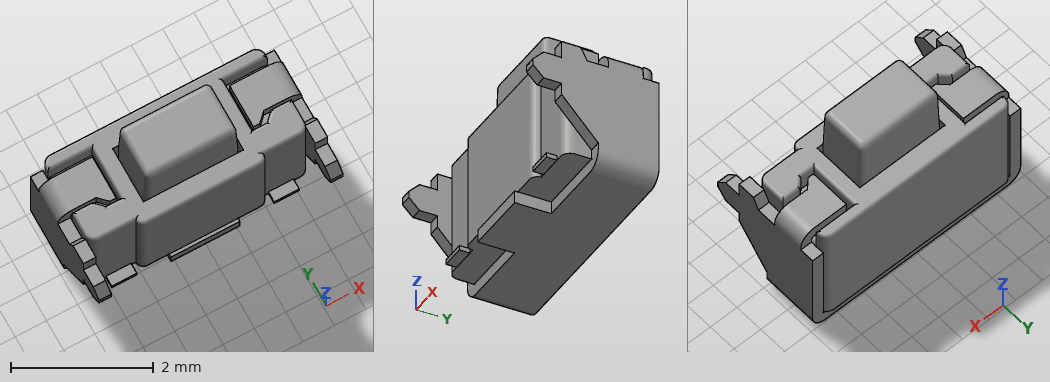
import cadquery as cq


length = 3.9
half_length = length / 2
total_height = 2.9
sheet = 0.2

housing_half = half_length - sheet
housing_bottom = sheet
housing_top = 2.05
housing_back = 0.8
wing_front = -0.63
boss_front = -0.75
boss_half = 1.02
housing_corner_radius = 0.15
boss_corner_radius = wing_front - boss_front
top_edge_radius = 0.05
window_length = 1.6
window_width = 0.897
window_depth = 0.5

bend_radius = 0.25
plate_back = 0.75
plate_back_top = 1.68
plate_notch_top = 1.693
plate_notch_front = -0.395
ear_slope_front = -0.5
ear_top = 1.89
plate_front = -0.8
spur_top = 1.62
spur_bottom = 1.178
spur_tip = -1.25
spur_chamfer = 0.168
plate_front_bottom = 0.985
plate_slope_bottom = 0.35
base_front = -0.22
base_tab_half = 0.55
hook_back = 0.5
hook_front = -0.055
hook_tip = 1.095
barb_front = -0.195
barb_length = 0.1
barb_slope = 0.14

pocket_gap = 0.05
pocket_back_gap = 0.098
pocket_slope_gap = 0.09
pocket_rim_radius = 0.1
hook_bottom = 1.782
hook_top = hook_bottom + sheet
pocket_floor = hook_bottom - pocket_gap
hook_bend_bottom = hook_top - bend_radius

button_length = 1.5
button_width = window_width
button_corner_radius = 0.105
button_top_radius = 0.1
button_draft = 2.0

terminal_inner = 1.095
terminal_width = 0.4
terminal_thickness = 0.075
terminal_front = plate_front


def block(x_range, y_range, z_range):
    """Box between the given limits on each axis."""
    return (
        cq.Workplane("XY")
        .box(
            x_range[1] - x_range[0],
            y_range[1] - y_range[0],
            z_range[1] - z_range[0],
            centered=False,
        )
        .translate((x_range[0], y_range[0], z_range[0]))
    )


def both_sides(left):
    """The left-hand shape joined with its mirror image on the right."""
    return left.union(left.mirror("YZ"))


def left_pocket():
    """Cutter for the left hook pocket, open to the side and the top of the housing."""
    front = hook_front - pocket_gap
    inner = -hook_tip + pocket_gap
    deep_front = barb_front - pocket_gap
    slope_end = -hook_tip - barb_length - pocket_slope_gap
    return (
        cq.Workplane("XY", origin=(0, 0, pocket_floor))
        .moveTo(-half_length, hook_back + pocket_back_gap)
        .lineTo(inner, hook_back + pocket_back_gap)
        .lineTo(inner, deep_front)
        .lineTo(slope_end, deep_front)
        .lineTo(slope_end - barb_slope, front)
        .lineTo(-half_length, front)
        .close()
        .extrude(housing_top - pocket_floor)
    )


def make_housing():
    z_range = (housing_bottom, housing_top)
    wings = block((-housing_half, housing_half), (wing_front, housing_back), z_range)
    wings = wings.edges("|Z").fillet(housing_corner_radius)
    boss = block((-boss_half, boss_half), (boss_front, 0), z_range)
    boss = boss.edges("|Z and <Y").fillet(boss_corner_radius)
    body = wings.union(boss)

    body = body.cut(both_sides(left_pocket()))
    body = body.faces(">Z").edges().fillet(top_edge_radius)

    pocket_middle = (hook_back + hook_front) / 2
    for side in (-1, 1):
        rim = cq.selectors.NearestToPointSelector((side * housing_half, pocket_middle, pocket_floor))
        body = body.edges(rim).fillet(pocket_rim_radius)

    window = (
        cq.Workplane("XY", origin=(0, 0, housing_top))
        .rect(window_length, window_width)
        .extrude(-window_depth)
    )
    return body.cut(window)


def make_button():
    """Straight stem in the window, then a drafted cap with rounded top edges."""
    section = cq.Sketch().rect(button_length, button_width).vertices().fillet(button_corner_radius)
    base = cq.Workplane("XY", origin=(0, 0, housing_top)).placeSketch(section)
    stem = base.extrude(-window_depth)
    cap = base.extrude(total_height - housing_top, taper=button_draft)
    cap = cap.faces(">Z").edges().fillet(button_top_radius)
    return stem.union(cap)


def left_side_plate():
    """Flat side plate with its solder spur, from the base bend up to the hook bend."""
    return (
        cq.Workplane("YZ", origin=(-half_length, 0, 0))
        .moveTo(plate_back, bend_radius)
        .lineTo(plate_back, plate_back_top)
        .lineTo(hook_back, plate_back_top)
        .lineTo(hook_back, hook_bend_bottom)
        .lineTo(hook_front, hook_bend_bottom)
        .lineTo(hook_front, plate_notch_top)
        .lineTo(plate_notch_front, plate_notch_top)
        .lineTo(ear_slope_front, ear_top)
        .lineTo(plate_front, ear_top)
        .lineTo(plate_front, spur_top)
        .lineTo(spur_tip + spur_chamfer, spur_top)
        .lineTo(spur_tip, spur_top - spur_chamfer)
        .lineTo(spur_tip, spur_bottom + spur_chamfer)
        .lineTo(spur_tip + spur_chamfer, spur_bottom)
        .lineTo(plate_front, spur_bottom)
        .lineTo(plate_front, plate_front_bottom)
        .lineTo(base_front, plate_slope_bottom)
        .lineTo(base_front, bend_radius)
        .close()
        .extrude(sheet)
    )


def left_hook():
    """Quarter bend over the side plate and the flat barbed end reaching into the pocket."""
    bend_x = -half_length + bend_radius
    y_range = (hook_front, hook_back)
    bend = (
        cq.Workplane("XY")
        .circle(bend_radius)
        .circle(bend_radius - sheet)
        .extrude(hook_back - hook_front)
        .rotate((0, 0, 0), (1, 0, 0), 90)
        .translate((bend_x, hook_back, hook_bend_bottom))
        .intersect(block((-half_length, bend_x), y_range, (hook_bend_bottom, hook_top)))
    )
    flat = (
        cq.Workplane("XY", origin=(0, 0, hook_bottom))
        .moveTo(bend_x, hook_back)
        .lineTo(-hook_tip, hook_back)
        .lineTo(-hook_tip, barb_front)
        .lineTo(-hook_tip - barb_length, barb_front)
        .lineTo(-hook_tip - barb_length - barb_slope, hook_front)
        .lineTo(bend_x, hook_front)
        .close()
        .extrude(sheet)
    )
    return bend.union(flat)


def make_bracket():
    """Base sheet under the housing, both side plates and both hooks."""
    base = block((-half_length, half_length), (base_front, plate_back), (0, plate_slope_bottom))
    base = base.edges("|Y and <Z").fillet(bend_radius)
    base = base.cut(
        block((-housing_half, housing_half), (base_front, plate_back), (sheet, plate_slope_bottom))
    )
    tab = block((-base_tab_half, base_tab_half), (plate_front, plate_back), (0, sheet))
    sides = both_sides(left_side_plate().union(left_hook()))
    return base.union(tab).union(sides)


def make_terminal(side):
    """Solder terminal on the wing front; side is -1 for left and 1 for right."""
    inner = side * terminal_inner
    outer = side * (terminal_inner + terminal_width)
    return block(
        (min(inner, outer), max(inner, outer)),
        (terminal_front, wing_front),
        (housing_bottom, housing_bottom + terminal_thickness),
    )


housing = make_housing()
button = make_button()
bracket = make_bracket()
terminals = [make_terminal(side) for side in (-1, 1)]

result = cq.Compound.makeCompound(
    [housing.val(), button.val(), bracket.val(), *[terminal.val() for terminal in terminals]]
)